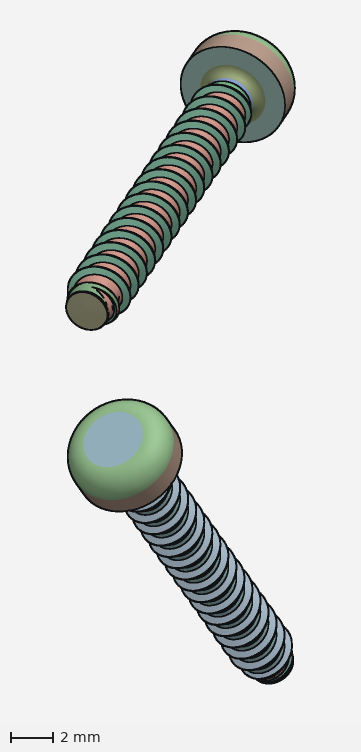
import cadquery as cq
import math


head_diameter = 5.3
head_height = 2.3
head_edge_radius = head_height / 2
neck_diameter = 2.4
neck_fillet_radius = 0.45
neck_end = 0.75
neck_taper_length = 0.4

shank_length = 20.0
core_diameter = 2.1
tip_cone_height = 0.05

major_diameter = 3.0
pitch = 1.12
crest_half_width = 0.03
foot_radius = 1.15
foot_half_width = 0.15
head_root_reach = 0.36
tip_root_reach = 0.7
root_edge_sink = 0.005
root_embed = 0.08
crest_phase = 1.22
run_in_diameter = 2.54
run_in_end = 1.65
run_out_start = 18.5
run_out_end = 19.85
envelope_clearance = 0.2

head_radius = head_diameter / 2
neck_radius = neck_diameter / 2
core_radius = core_diameter / 2
root_radius = core_radius - root_embed
root_edge_radius = core_radius - root_edge_sink
major_radius = major_diameter / 2
arc_midpoint_ratio = math.sqrt(0.5)


def make_blank():
    """Head, filleted neck and plain core turned as one body."""
    head_arc_x = head_radius - head_edge_radius
    head_arc_z = head_edge_radius - head_height
    head_arc_reach = head_edge_radius * arc_midpoint_ratio
    fillet_x = neck_radius + neck_fillet_radius
    fillet_reach = neck_fillet_radius * arc_midpoint_ratio
    profile = (
        cq.Workplane("XZ")
        .moveTo(0, -head_height)
        .lineTo(head_arc_x, -head_height)
        .threePointArc(
            (head_arc_x + head_arc_reach, head_arc_z - head_arc_reach),
            (head_radius, head_arc_z),
        )
        .lineTo(head_radius, 0)
        .lineTo(fillet_x, 0)
        .threePointArc(
            (fillet_x - fillet_reach, neck_fillet_radius - fillet_reach),
            (neck_radius, neck_fillet_radius),
        )
        .lineTo(neck_radius, neck_end)
        .lineTo(core_radius, neck_end + neck_taper_length)
        .lineTo(core_radius, shank_length - tip_cone_height)
        .lineTo(0, shank_length)
        .close()
    )
    return profile.revolve(360, (0, 0), (0, 1))


def make_thread_ridge():
    """Right-handed helical ridge, longer than the finished thread at both ends."""
    section = [
        (root_radius, -head_root_reach),
        (root_edge_radius, -head_root_reach),
        (foot_radius, -foot_half_width),
        (major_radius, -crest_half_width),
        (major_radius, crest_half_width),
        (foot_radius, foot_half_width),
        (root_edge_radius, tip_root_reach),
        (root_radius, tip_root_reach),
    ]
    start = crest_phase - pitch
    turns = math.ceil((shank_length - start) / pitch)
    helices = [
        cq.Wire.makeHelix(pitch, turns * pitch, radius, cq.Vector(0, 0, start + offset))
        for radius, offset in section
    ]
    neighbours = helices[1:] + helices[:1]
    faces = [cq.Face.makeRuledSurface(a, b) for a, b in zip(helices, neighbours)]
    for end in (0, 1):
        corners = [helix.positionAt(end) for helix in helices]
        faces.append(cq.Face.makeFromWires(cq.Wire.makePolygon(corners, close=True)))
    ridge = cq.Solid.makeSolid(cq.Shell.makeShell(faces))
    return cq.Workplane(obj=ridge.fix())


def make_thread_envelope():
    """Body of revolution, clear of the full thread, that cuts its run-in and run-out."""
    run_in_radius = run_in_diameter / 2
    run_in_slope = (major_radius - run_in_radius) / (run_in_end - neck_end)
    run_out_slope = (major_radius - core_radius) / (run_out_end - run_out_start)
    clear_radius = major_radius + envelope_clearance
    profile = (
        cq.Workplane("XZ")
        .moveTo(0, neck_end)
        .lineTo(run_in_radius, neck_end)
        .lineTo(clear_radius, run_in_end + envelope_clearance / run_in_slope)
        .lineTo(clear_radius, run_out_start - envelope_clearance / run_out_slope)
        .lineTo(core_radius, run_out_end)
        .lineTo(0, run_out_end)
        .close()
    )
    return profile.revolve(360, (0, 0), (0, 1))


thread = make_thread_ridge().intersect(make_thread_envelope())
screw = make_blank().union(thread)

result = screw.rotate((0, 0, 0), (1, 0, 0), 90)